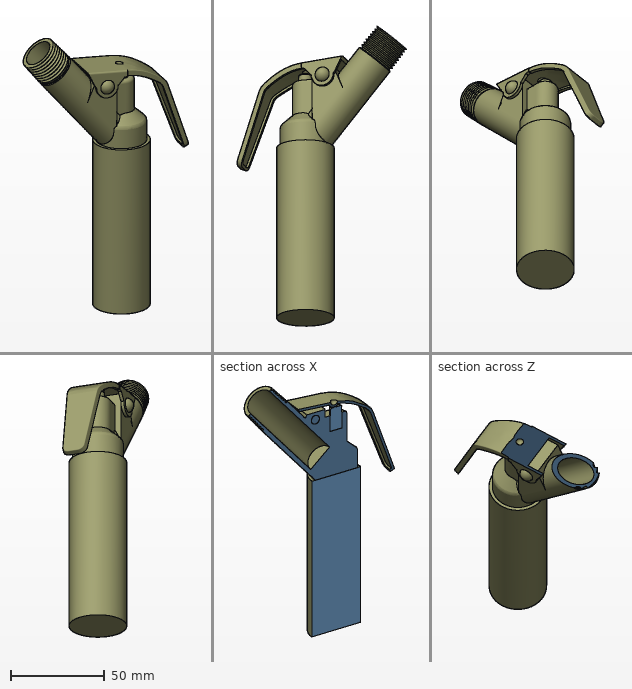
import cadquery as cq
import math

SLEEVE_DIAMETER = 31.0
SLEEVE_HEIGHT = 95.2

BASE_RADIUS = 13.7
BASE_TOP_Z = 107.0
BASE_EDGE_FILLET = 2.5
COLUMN_RADIUS = 7.0
CONE_TOP_Z = 113.0
COLUMN_TOP_Z = 131.8
COLUMN_EDGE_FILLET = 1.9

TUBE_AXIS_Z = 95.5
TUBE_ANGLE = 49.7
TUBE_RADIUS = 10.5
TUBE_LENGTH = 60.5
TUBE_EDGE_CHAMFER = 0.5
BORE_RADIUS = 7.8
BORE_START = 15.9

THREAD_LENGTH = 14.5
THREAD_COUNT = 8
THREAD_PITCH = THREAD_LENGTH / THREAD_COUNT
TUBE_END = TUBE_LENGTH + THREAD_LENGTH
THREAD_DEPTH = 1.1
THREAD_START_RADIUS = TUBE_RADIUS
THREAD_TAPER = 1 / 32

WEB_HALF_WIDTH = TUBE_RADIUS
WEB_TOP_Z = 136.6
WEB_TOP_FRONT_Y = -18.8
WEB_FOOT_FRONT_Y = -24.2

RIVET_Y = -13.2
RIVET_Z = 132.0
RIVET_RADIUS = 2.4
RIVET_HEAD_RADIUS = 4.0
RIVET_HEAD_HEIGHT = 3.0

SHEET = 1.8
LEVER_HALF_WIDTH = WEB_HALF_WIDTH + SHEET
RIM_DEPTH = 3.0
LEVER_START_Y = -1.3
LEVER_START_Z = 139.6
TAIL_Y = -24.4
ROOF_ANGLE = 4.7
CREST_Y = 19.1
CREST_Z = 131.5
CREST_ANGLE = 43.0
ARM_START_Y = 23.5
ARM_START_Z = 126.4
ARM_ANGLE = 70.5
ARM_LENGTH = 41.2
ARM_ROOT_HALF_WIDTH = 11.8
SHOULDER_Y = 9.5
SHOULDER_HALF_WIDTH = 11.0
ARM_START_HALF_WIDTH = 8.8
TIP_Y = 37.4
TIP_HALF_WIDTH = 6.0
TIP_CORNER_RADIUS = 3.8
EAR_EDGE_FILLET = 1.0
ARM_EDGE_FILLET = 0.5
EAR_RADIUS = 6.2
EAR_BACK_Y = -3.2
EAR_BACK_Z = 136.1
EAR_NOTCH_Y = -20.4
EAR_NOTCH_Z = 133.4
DIMPLE_RADIUS = 2.0
DIMPLE_OUTER_RADIUS = 3.5

PLUNGER_RADIUS = 3.7
PLUNGER_TOP_Z = LEVER_START_Z - DIMPLE_OUTER_RADIUS
PLUNGER_SEAT_DEPTH = 9.5
PLUNGER_CHAMFER = 0.6


def along_x(sketch, half_width):
    """Extrude a closed YZ sketch to both sides of X = 0, as one piece."""
    return sketch.extrude(2 * half_width).translate((-half_width, 0, 0))


def make_sleeve():
    return cq.Workplane("XY").circle(SLEEVE_DIAMETER / 2).extrude(SLEEVE_HEIGHT)


def tube_frame():
    """Workplane whose XY is the tube's (radius, length) plane, its Y along the tube axis."""
    lean = math.radians(TUBE_ANGLE)
    across = (0, math.sin(lean), math.cos(lean))
    return cq.Workplane(cq.Plane((0, 0, TUBE_AXIS_Z), across, (1, 0, 0)))


def revolve_on_tube(points):
    return tube_frame().polyline(points).close().revolve(360, (0, 0), (0, 1))


def thread_profile():
    """Zigzag of (radius, length) points; the last crest lies on the tube end."""
    root_radius = THREAD_START_RADIUS - THREAD_DEPTH
    points = [(root_radius, TUBE_LENGTH)]
    for ring in range(THREAD_COUNT):
        root = (ring + 0.5) * THREAD_PITCH
        crest = (ring + 1) * THREAD_PITCH
        points.append((root_radius - root * THREAD_TAPER, TUBE_LENGTH + root))
        points.append((THREAD_START_RADIUS - crest * THREAD_TAPER, TUBE_LENGTH + crest))
    return points


def make_tube():
    outline = [
        (0, 0),
        (TUBE_RADIUS, 0),
        (TUBE_RADIUS, TUBE_LENGTH - TUBE_EDGE_CHAMFER),
        (TUBE_RADIUS - TUBE_EDGE_CHAMFER, TUBE_LENGTH),
        *thread_profile(),
        (0, TUBE_END),
    ]
    return revolve_on_tube(outline)


def make_bore():
    outline = [(0, BORE_START), (BORE_RADIUS, BORE_START), (BORE_RADIUS, TUBE_END), (0, TUBE_END)]
    return revolve_on_tube(outline)


def make_base():
    """Round base and cone with a softened shoulder between them."""
    base = (
        cq.Workplane("XZ")
        .moveTo(0, SLEEVE_HEIGHT)
        .lineTo(BASE_RADIUS, SLEEVE_HEIGHT)
        .lineTo(BASE_RADIUS, BASE_TOP_Z)
        .lineTo(COLUMN_RADIUS, CONE_TOP_Z)
        .lineTo(0, CONE_TOP_Z)
        .close()
        .revolve(360, (0, 0), (0, 1))
    )
    return base.faces("%CONE").edges("<Z").fillet(BASE_EDGE_FILLET)


def make_column():
    """Round at the back, flat-sided toward the web."""
    return (
        cq.Workplane("XY", origin=(0, 0, BASE_TOP_Z))
        .moveTo(COLUMN_RADIUS, -COLUMN_RADIUS)
        .lineTo(COLUMN_RADIUS, 0)
        .threePointArc((0, COLUMN_RADIUS), (-COLUMN_RADIUS, 0))
        .lineTo(-COLUMN_RADIUS, -COLUMN_RADIUS)
        .close()
        .extrude(COLUMN_TOP_Z - BASE_TOP_Z)
        .faces(">Z")
        .edges("not <Y")
        .fillet(COLUMN_EDGE_FILLET)
    )


def tube_axis_z(y):
    return TUBE_AXIS_Z - y * math.tan(math.radians(TUBE_ANGLE))


def make_web():
    outline = [
        (-COLUMN_RADIUS, tube_axis_z(-COLUMN_RADIUS)),
        (-COLUMN_RADIUS, WEB_TOP_Z),
        (WEB_TOP_FRONT_Y, WEB_TOP_Z),
        (WEB_FOOT_FRONT_Y, tube_axis_z(WEB_FOOT_FRONT_Y)),
    ]
    return along_x(cq.Workplane("YZ").polyline(outline).close(), WEB_HALF_WIDTH)


def make_valve_body(tube, plunger, rivet):
    body = make_base().union(make_column()).union(make_web()).union(tube)
    return body.cut(make_sleeve()).cut(make_bore()).cut(plunger).cut(rivet)


def below(y, z, angle, depth):
    """Point at a depth square below (y, z), where the upper face falls at the given angle."""
    slope = math.radians(angle)
    return (y - depth * math.sin(slope), z - depth * math.cos(slope))


def roof_point(y, depth):
    """Point at a depth square below the flat roof."""
    roof_z = LEVER_START_Z - (y - LEVER_START_Y) * math.tan(math.radians(ROOF_ANGLE))
    return below(y, roof_z, ROOF_ANGLE, depth)


def arm_line(depth, arm_length):
    """Start, crest, bend and end points of the arm at a depth below its upper face."""
    slope = math.radians(ARM_ANGLE)
    start = roof_point(LEVER_START_Y, depth)
    crest = below(CREST_Y, CREST_Z, CREST_ANGLE, depth)
    bend = below(ARM_START_Y, ARM_START_Z, ARM_ANGLE, depth)
    end = (bend[0] + arm_length * math.cos(slope), bend[1] - arm_length * math.sin(slope))
    return start, crest, bend, end


def falling(angle):
    """Direction toward +Y that falls at the given angle."""
    slope = math.radians(angle)
    return (math.cos(slope), -math.sin(slope))


def rising(angle):
    """Direction toward -Y that rises at the given angle."""
    slope = math.radians(angle)
    return (-math.cos(slope), math.sin(slope))


def make_strip(upper, lower, arm_length, half_width):
    """Layer of the arm between two depths below its upper face."""
    upper_start, upper_crest, upper_bend, upper_end = arm_line(upper, arm_length)
    lower_start, lower_crest, lower_bend, lower_end = arm_line(lower, arm_length)
    sketch = (
        cq.Workplane("YZ")
        .moveTo(*upper_start)
        .spline(
            [upper_crest, upper_bend],
            tangents=[falling(ROOF_ANGLE), falling(ARM_ANGLE)],
            includeCurrent=True,
        )
        .lineTo(*upper_end)
        .lineTo(*lower_end)
        .lineTo(*lower_bend)
        .spline(
            [lower_crest, lower_start],
            tangents=[rising(ARM_ANGLE), rising(ROOF_ANGLE)],
            includeCurrent=True,
        )
        .close()
    )
    return along_x(sketch, half_width)


def make_plan(inset):
    """Tall block with the tapering outline of the arm in plan, shrunk by the inset."""
    root = ARM_ROOT_HALF_WIDTH - inset
    shoulder = SHOULDER_HALF_WIDTH - inset
    arm_start = ARM_START_HALF_WIDTH - inset
    tip = TIP_HALF_WIDTH - inset
    return (
        cq.Workplane("XY")
        .moveTo(-root, LEVER_START_Y - RIM_DEPTH)
        .lineTo(root, LEVER_START_Y - RIM_DEPTH)
        .threePointArc((shoulder, SHOULDER_Y), (arm_start, ARM_START_Y))
        .lineTo(tip, TIP_Y)
        .lineTo(-tip, TIP_Y)
        .lineTo(-arm_start, ARM_START_Y)
        .threePointArc((-shoulder, SHOULDER_Y), (-root, LEVER_START_Y - RIM_DEPTH))
        .close()
        .extrude(2 * LEVER_START_Z)
    )


def make_arm(inset, upper, lower):
    """Tapered strip with rounded tip corners."""
    strip = make_strip(upper, lower, ARM_LENGTH - inset, LEVER_HALF_WIDTH - inset)
    arm = strip.intersect(make_plan(inset))
    return arm.faces("<Z").edges("not |X").fillet(TIP_CORNER_RADIUS - inset)


def soften_arm(arm):
    """Round the side and tip edges of the arm's upper face."""
    slope = math.radians(ARM_ANGLE)
    outward = cq.Vector(0, math.sin(slope), math.cos(slope))
    straight = arm.faces(cq.selectors.DirectionMinMaxSelector(outward, True)).edges("not |X")
    curved = arm.faces("%EXTRUSION").faces(">Z").edges("not |X")
    return arm.newObject(straight.vals() + curved.vals()).fillet(ARM_EDGE_FILLET)


def make_ears():
    """Roof and both ears as one block, lobed around the rivet."""
    sketch = (
        cq.Workplane("YZ")
        .moveTo(*roof_point(TAIL_Y, 0))
        .lineTo(LEVER_START_Y, LEVER_START_Z)
        .lineTo(*roof_point(LEVER_START_Y, RIM_DEPTH))
        .lineTo(EAR_BACK_Y, EAR_BACK_Z)
        .lineTo(RIVET_Y + EAR_RADIUS, RIVET_Z)
        .threePointArc((RIVET_Y, RIVET_Z - EAR_RADIUS), (RIVET_Y - EAR_RADIUS, RIVET_Z))
        .lineTo(EAR_NOTCH_Y, EAR_NOTCH_Z)
        .close()
    )
    ears = along_x(sketch, LEVER_HALF_WIDTH)
    return ears.faces(">Z").edges("not |X").fillet(EAR_EDGE_FILLET)


def make_ear_gap():
    """Space between the ears, open at the tail."""
    gap_depth = 3 * EAR_RADIUS
    outline = [
        roof_point(2 * TAIL_Y, SHEET),
        roof_point(LEVER_START_Y, SHEET),
        roof_point(LEVER_START_Y, gap_depth),
        roof_point(2 * TAIL_Y, gap_depth),
    ]
    return along_x(cq.Workplane("YZ").polyline(outline).close(), WEB_HALF_WIDTH)


def make_lever(tube, rivet):
    dimple_centre = (0, LEVER_START_Y, LEVER_START_Z)
    bump = cq.Workplane("XY", origin=dimple_centre).sphere(DIMPLE_OUTER_RADIUS)
    dimple = cq.Workplane("XY", origin=dimple_centre).sphere(DIMPLE_RADIUS)
    shell = soften_arm(make_arm(0, 0, RIM_DEPTH)).union(make_ears())
    cavity = make_arm(SHEET, SHEET, 2 * RIM_DEPTH).union(make_ear_gap())
    lever = shell.cut(cavity).union(bump.intersect(cavity)).cut(dimple)
    return lever.cut(tube).cut(rivet)


def make_plunger():
    bottom = COLUMN_TOP_Z - PLUNGER_SEAT_DEPTH
    return (
        cq.Workplane("XY", origin=(0, 0, bottom))
        .circle(PLUNGER_RADIUS)
        .extrude(PLUNGER_TOP_Z - bottom)
        .faces(">Z")
        .chamfer(PLUNGER_CHAMFER)
    )


def make_rivet():
    """Round shank with a domed head against each ear."""
    dome_radius = (RIVET_HEAD_RADIUS**2 + RIVET_HEAD_HEIGHT**2) / (2 * RIVET_HEAD_HEIGHT)
    head_end = LEVER_HALF_WIDTH + RIVET_HEAD_HEIGHT
    dome_angle = math.asin(RIVET_HEAD_RADIUS / dome_radius) / 2
    dome_drop = dome_radius * (1 - math.cos(dome_angle))
    dome_middle = (head_end - dome_drop, dome_radius * math.sin(dome_angle))
    return (
        cq.Workplane("XY", origin=(0, RIVET_Y, RIVET_Z))
        .moveTo(-head_end, 0)
        .threePointArc((-dome_middle[0], dome_middle[1]), (-LEVER_HALF_WIDTH, RIVET_HEAD_RADIUS))
        .lineTo(-LEVER_HALF_WIDTH, RIVET_RADIUS)
        .lineTo(LEVER_HALF_WIDTH, RIVET_RADIUS)
        .lineTo(LEVER_HALF_WIDTH, RIVET_HEAD_RADIUS)
        .threePointArc(dome_middle, (head_end, 0))
        .close()
        .revolve(360, (0, 0), (1, 0))
    )


sleeve = make_sleeve()
plunger = make_plunger()
rivet = make_rivet()
inlet_tube = make_tube()
valve_body = make_valve_body(inlet_tube, plunger, rivet)
lever = make_lever(inlet_tube, rivet)

result = cq.Compound.makeCompound(
    [body.solids().val() for body in (sleeve, valve_body, lever, plunger, rivet)]
)